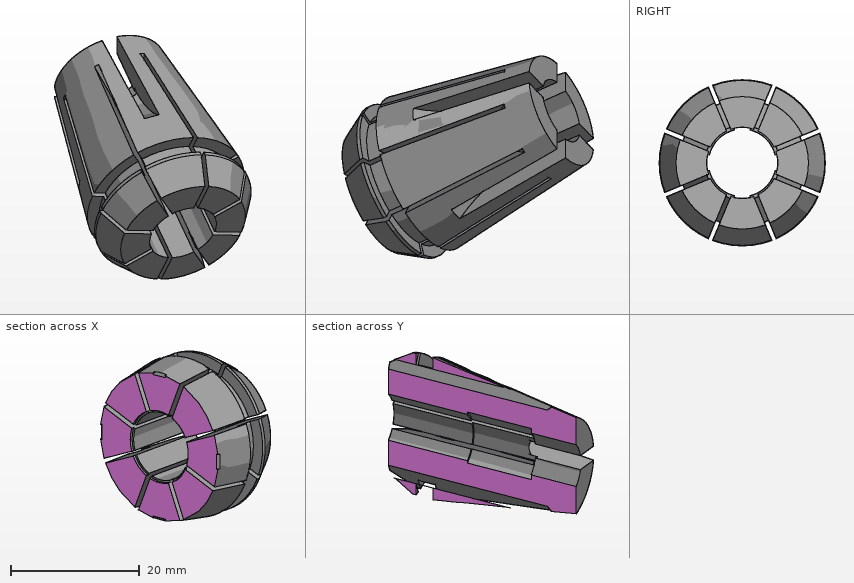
import cadquery as cq
import math

length = 34.0
cone_end = 25.95
cone_radius = 12.92
taper_angle = 8.2
small_radius = cone_radius - cone_end * math.tan(math.radians(taper_angle))

groove_width = 3.05
groove_radius = 10.95
collar_start = cone_end + groove_width
collar_width = 0.6
collar_radius = 12.82
nose_angle = 30.0
nose_taper_start = collar_start + collar_width
nose_radius = collar_radius - (length - nose_taper_start) * math.tan(math.radians(nose_angle))

land_radius = 5.25
land_length = 8.15
relief_radius = 5.8
bore_radius = 5.5

wide_slot_count = 4
wide_slot_width = 2.4
wide_slot_end = 19.7
cutter_radius = 20.0
runout_angle = 49.0

relief_end = wide_slot_end

narrow_slot_count = 8
narrow_slot_width = 0.7
narrow_slot_start = 4.55
narrow_floor_angle = 45.0

clearance = 0.68


def taper_radius(x):
    """Radius of the long taper at position x."""
    return small_radius + x * math.tan(math.radians(taper_angle))


def make_body():
    """Turned blank: outer outline and stepped bore revolved about X."""
    outline = [
        (0, land_radius),
        (0, small_radius),
        (cone_end, cone_radius),
        (cone_end, groove_radius),
        (collar_start, groove_radius),
        (collar_start, collar_radius),
        (nose_taper_start, collar_radius),
        (length, nose_radius),
        (length, bore_radius),
        (relief_end, bore_radius),
        (relief_end, relief_radius),
        (land_length, relief_radius),
        (land_length, land_radius),
    ]
    return cq.Workplane("XY").polyline(outline).close().revolve(360, (0, 0, 0), (1, 0, 0))


def make_wide_slot():
    """Slot cutter on the +Y side: open through the land, then a round run-out."""
    angle = math.radians(runout_angle)
    center_x = wide_slot_end - cutter_radius * math.sin(angle)
    center_y = taper_radius(wide_slot_end) + cutter_radius * math.cos(angle)
    open_height = cone_radius + clearance
    entry = (
        cq.Workplane("XY")
        .box(land_length + clearance, open_height, wide_slot_width, centered=(False, False, True))
        .translate((-clearance, 0, 0))
    )
    wheel = (
        cq.Workplane("XY")
        .center(center_x, center_y)
        .circle(cutter_radius)
        .extrude(wide_slot_width / 2, both=True)
    )
    return entry.union(wheel)


def make_narrow_slot():
    """Slot cutter on the +Y side: slanted floor down to the axis, open at the nose."""
    slope = math.tan(math.radians(narrow_floor_angle))
    start_radius = taper_radius(narrow_slot_start)
    floor_end = narrow_slot_start + start_radius / slope
    top = cone_radius + clearance
    outline = [
        (narrow_slot_start, start_radius),
        (narrow_slot_start, top),
        (length + clearance, top),
        (length + clearance, 0),
        (floor_end, 0),
    ]
    return cq.Workplane("XY").polyline(outline).close().extrude(narrow_slot_width / 2, both=True)


def cut_around(body, cutter, count, first_angle):
    """Cut evenly spaced copies of a cutter around the X axis."""
    for index in range(count):
        angle = first_angle + index * 360.0 / count
        body = body.cut(cutter.rotate((0, 0, 0), (1, 0, 0), angle))
    return body


body = make_body()
body = cut_around(body, make_wide_slot(), wide_slot_count, 0)
result = cut_around(body, make_narrow_slot(), narrow_slot_count, 180.0 / narrow_slot_count)